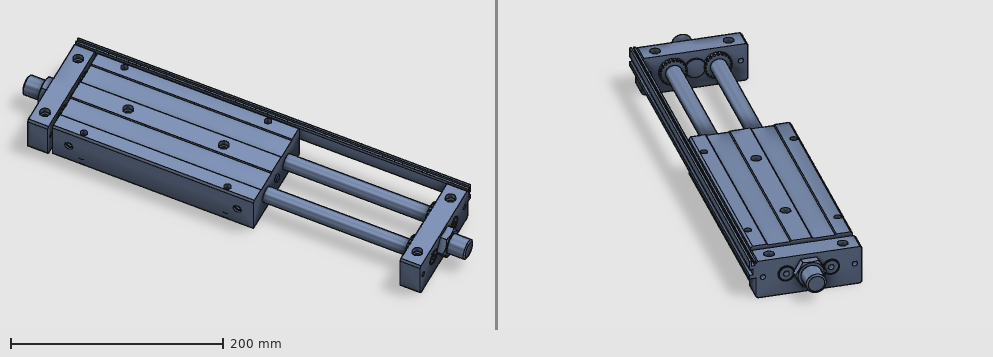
import cadquery as cq
import math

axis_height = 22.0

frame_length = 410.0
plate_thickness = 21.0
plate_width = 104.0
plate_height = 40.0
plate_chamfer = 2.0
plate_screw_spacing = 72.0
plate_screw_diameter = 5.2
plate_counterbore_diameter = 10.0
plate_counterbore_depth = 6.0
face_hole_spacing = 90.0
face_hole_diameter = 5.1

rod_diameter = 16.0
rod_spacing = 44.0
rod_end_chamfer = 1.0
rod_tap_diameter = 5.5
rod_tap_depth = 16.0
collar_diameter = 27.0
collar_thickness = 4.0
collar_slot_count = 20
collar_slot_width = 1.5
collar_slot_depth = 1.5

rail_depth = 6.0
rail_bottom = 22.0
rail_top = 41.0
rail_web = 2.6
rail_lip_height = 4.0
rail_shelf_bottom = 32.0
rail_slot_floor = 36.0
rail_slot_wall = 0.9
rail_slot_outer_wall = 2.0
rail_slot_opening = 2.0
rail_slot_lip = 1.4

carriage_length = 210.0
carriage_width = 100.0
carriage_bottom = 2.0
carriage_top = 42.0
carriage_chamfer = 2.0
pad_edge = 33.0
center_pad_width = 22.0
pad_relief = 1.0
corner_hole_pitch = 150.0
corner_hole_spacing = 88.0
corner_hole_diameter = 6.8
corner_counterbore_diameter = 11.0
corner_counterbore_depth = 6.5
center_hole_pitch = 100.0
center_hole_diameter = 5.2
center_counterbore_diameter = 10.0
center_counterbore_depth = 6.0
side_hole_pitch = 176.0
side_hole_diameter = 5.2
side_hole_depth = 16.0
side_hole_mouth_diameter = 8.4
side_hole_mouth_depth = 2.0
stop_diameter = 8.0
stop_length = 1.5

absorber_diameter = 20.0
absorber_tip_diameter = 16.0
absorber_tip_length = 1.2
absorber_overall = 462.0
absorber_inner_projection = 2.0
nut_across_flats = 27.0
nut_thickness = 8.0
nut_face_diameter = 25.6
nut_chamfer_angle = 30.0

plate_outer_x = frame_length / 2
plate_inner_x = plate_outer_x - plate_thickness
plate_middle_x = plate_outer_x - plate_thickness / 2
collar_face_x = plate_inner_x - collar_thickness
carriage_start_x = -collar_face_x
carriage_end_x = carriage_start_x + carriage_length
carriage_middle_x = carriage_start_x + carriage_length / 2
absorber_outer_x = absorber_overall / 2
absorber_inner_x = plate_inner_x - absorber_inner_projection
rod_places = (-rod_spacing / 2, rod_spacing / 2)
ends = (-1, 1)


def bar_x(diameter, x_start, x_end, y=0.0):
    """Cylinder along X at the height of the rods."""
    circle = cq.Workplane("YZ", origin=(x_start, y, axis_height)).circle(diameter / 2)
    return circle.extrude(x_end - x_start)


def block(x_start, x_end, y_start, y_end, z_start, z_end):
    """Box between two opposite corners."""
    size = (x_end - x_start, y_end - y_start, z_end - z_start)
    return cq.Workplane("XY").box(*size, centered=False).translate((x_start, y_start, z_start))


def at_end(shape, end):
    """Shape made for the +X end, mirrored when it belongs to the -X end."""
    return shape if end > 0 else shape.mirror("YZ")


def make_collar(y):
    """Slotted collar round a rod, on the inner face of the +X end plate."""
    collar = bar_x(collar_diameter, collar_face_x, plate_inner_x, y)
    slots = (
        cq.Workplane("YZ", origin=(collar_face_x, y, axis_height))
        .polarArray(collar_diameter / 2, 0, 360, collar_slot_count)
        .rect(2 * collar_slot_depth, collar_slot_width)
        .extrude(collar_thickness)
    )
    return collar.cut(slots)


def make_end_plate():
    """The +X end plate with its collars and holes, but without the rods."""
    half_width = plate_width / 2
    plate = block(plate_inner_x, plate_outer_x, -half_width, half_width, 0, plate_height)
    plate = plate.edges("|X").chamfer(plate_chamfer)
    plate = (
        plate.faces(">Z").workplane(origin=(plate_middle_x, 0, plate_height))
        .pushPoints([(0, -plate_screw_spacing / 2), (0, plate_screw_spacing / 2)])
        .cboreHole(plate_screw_diameter, plate_counterbore_diameter, plate_counterbore_depth)
    )
    for y in (-face_hole_spacing / 2, face_hole_spacing / 2):
        plate = plate.cut(bar_x(face_hole_diameter, plate_inner_x, plate_outer_x, y))
    for y in rod_places:
        plate = plate.union(make_collar(y))
        plate = plate.cut(make_rod_end_cut(y))
    return plate.cut(bar_x(absorber_diameter, absorber_inner_x, plate_outer_x))


def make_rod_end_cut(y):
    """Tapped hole in the end of a rod and the groove left by the rod's end chamfer."""
    cut = bar_x(rod_tap_diameter, plate_outer_x - rod_tap_depth, plate_outer_x, y)
    rod_end = bar_x(rod_diameter, plate_inner_x, plate_outer_x, y)
    chamfered_end = rod_end.faces(">X").chamfer(rod_end_chamfer)
    return cut.union(rod_end.cut(chamfered_end))


def make_rail():
    """Sensor rail: a web with an outward lip below and a slotted channel on top."""
    back = plate_width / 2
    front = back + rail_depth
    web_front = back + rail_web
    pocket_back = back + rail_slot_wall
    pocket_front = front - rail_slot_outer_wall
    lip_back = pocket_front - rail_slot_opening
    pocket_top = rail_top - rail_slot_lip
    outline = [
        (back, rail_bottom),
        (front, rail_bottom),
        (front, rail_bottom + rail_lip_height),
        (web_front, rail_bottom + rail_lip_height),
        (web_front, rail_shelf_bottom),
        (front, rail_shelf_bottom),
        (front, rail_top),
        (pocket_front, rail_top),
        (pocket_front, rail_slot_floor),
        (pocket_back, rail_slot_floor),
        (pocket_back, pocket_top),
        (lip_back, pocket_top),
        (lip_back, rail_top),
        (back, rail_top),
    ]
    profile = cq.Workplane("YZ", origin=(-plate_outer_x, 0, 0)).polyline(outline).close()
    return profile.extrude(frame_length)


def make_frame():
    frame = make_rail()
    for end in ends:
        frame = frame.union(at_end(make_end_plate(), end))
    for y in rod_places:
        frame = frame.union(bar_x(rod_diameter, -plate_inner_x, plate_inner_x, y))
    return frame


def make_reliefs():
    """Shallow channels along the top, with walls sloped at 45 degrees."""
    floor = carriage_top - pad_relief
    inner = center_pad_width / 2
    outline = [
        (inner, floor),
        (pad_edge, floor),
        (pad_edge + pad_relief, carriage_top),
        (inner - pad_relief, carriage_top),
    ]
    profile = cq.Workplane("YZ", origin=(carriage_start_x, 0, 0)).polyline(outline).close()
    relief = profile.extrude(carriage_length)
    return [relief, relief.mirror("XZ")]


def make_carriage():
    half_width = carriage_width / 2
    carriage = block(
        carriage_start_x, carriage_end_x, -half_width, half_width, carriage_bottom, carriage_top
    )
    carriage = carriage.edges("|X and >Z").chamfer(carriage_chamfer)
    stop = bar_x(stop_diameter, carriage_start_x - stop_length, carriage_end_x + stop_length)
    carriage = carriage.union(stop)

    for relief in make_reliefs():
        carriage = carriage.cut(relief)

    top = cq.Workplane("XY", origin=(carriage_middle_x, 0, carriage_top))
    bottom = cq.Workplane("XY", origin=(carriage_middle_x, 0, carriage_bottom))
    corners = bottom.rect(corner_hole_pitch, corner_hole_spacing, forConstruction=True).vertices()
    corner_holes = corners.circle(corner_hole_diameter / 2).extrude(carriage_top - carriage_bottom)
    corner_heads = corners.circle(corner_counterbore_diameter / 2).extrude(corner_counterbore_depth)
    carriage = carriage.cut(corner_holes).cut(corner_heads)
    for x in (-center_hole_pitch / 2, center_hole_pitch / 2):
        place = top.center(x, 0)
        carriage = carriage.cut(
            place.circle(center_hole_diameter / 2).extrude(carriage_bottom - carriage_top)
        )
        carriage = carriage.cut(
            place.circle(center_counterbore_diameter / 2).extrude(-center_counterbore_depth)
        )

    side = cq.Workplane("XZ", origin=(carriage_middle_x, -half_width, axis_height))
    for x in (-side_hole_pitch / 2, side_hole_pitch / 2):
        hole = side.center(x, 0).circle(side_hole_diameter / 2).extrude(-side_hole_depth)
        mouth = side.center(x, 0).circle(side_hole_mouth_diameter / 2).extrude(-side_hole_mouth_depth)
        carriage = carriage.cut(hole).cut(mouth)

    for y in rod_places:
        carriage = carriage.cut(bar_x(rod_diameter, carriage_start_x, carriage_end_x, y))
    return carriage


def make_absorber(end):
    """Threaded shock absorber with its lock nut against the outer face of the end plate."""
    body = bar_x(absorber_diameter, absorber_inner_x, absorber_outer_x)
    tip_radial = (absorber_diameter - absorber_tip_diameter) / 2
    body = body.faces(">X").edges().chamfer(absorber_tip_length, tip_radial)

    across_corners = nut_across_flats / math.cos(math.pi / 6)
    nut = (
        cq.Workplane("YZ", origin=(plate_outer_x, 0, axis_height))
        .polygon(6, across_corners).extrude(nut_thickness)
    )
    corner_radial = (across_corners - nut_face_diameter) / 2
    corner_axial = corner_radial * math.tan(math.radians(nut_chamfer_angle))
    turned = bar_x(across_corners, plate_outer_x, plate_outer_x + nut_thickness)
    turned = turned.faces(">X").edges().chamfer(corner_axial, corner_radial)
    return at_end(body.union(nut.intersect(turned)), end)


frame = make_frame()
carriage = make_carriage()
absorbers = [make_absorber(end).val() for end in ends]

result = cq.Compound.makeCompound([frame.val(), carriage.val(), *absorbers])